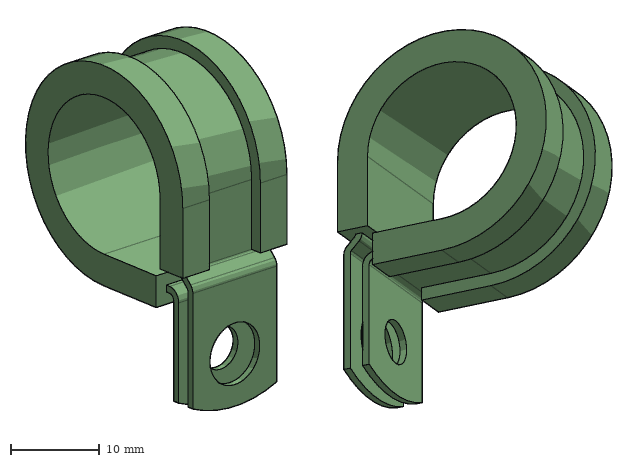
import cadquery as cq
import math

bore_radius = 9.525
cushion_thickness = 3.868
cushion_width = 15.75
lower_end_x = 8.87
upper_end_z = -8.5
outer_radius = bore_radius + cushion_thickness

groove_width = 7.7
groove_depth = 1.5
band_radius = outer_radius - groove_depth

band_thickness = 0.85
band_width = 12.7
leg_bottom_z = -26.125
lower_leg_outer_x = 10.98
lower_bend_inner_radius = 0.7
jog_angle = math.radians(45)
jog_inner_radius = 0.45
tip_radius = 15.8

lower_hole_diameter = 5.18
upper_hole_diameter = 7.5
hole_z = -19.72


def extrude_centred(profile, width):
    """Extrude an XZ profile symmetrically about Y = 0."""
    return profile.extrude(width / 2, both=True)


def loop_profile(inner, outer):
    """Three-quarter ring with a tangent straight run at each end."""
    diagonal = math.sqrt(0.5)
    return (
        cq.Workplane("XZ")
        .moveTo(lower_end_x, -outer)
        .lineTo(0, -outer)
        .threePointArc((-outer * diagonal, outer * diagonal), (outer, 0))
        .lineTo(outer, upper_end_z)
        .lineTo(inner, upper_end_z)
        .lineTo(inner, 0)
        .threePointArc((-inner * diagonal, inner * diagonal), (0, -inner))
        .lineTo(lower_end_x, -inner)
        .close()
    )


def make_cushion():
    cushion = extrude_centred(loop_profile(bore_radius, outer_radius), cushion_width)
    groove = extrude_centred(loop_profile(band_radius, outer_radius), groove_width)
    return cushion.cut(groove)


def make_lower_leg():
    """Band leaving the lower run horizontally and bending down through 90 degrees."""
    outer_bend = lower_bend_inner_radius + band_thickness
    inner_x = lower_leg_outer_x - band_thickness
    bend_z = -band_radius - lower_bend_inner_radius
    profile = (
        cq.Workplane("XZ")
        .moveTo(lower_end_x, -band_radius)
        .lineTo(lower_leg_outer_x - outer_bend, -band_radius)
        .tangentArcPoint((inner_x, bend_z), relative=False)
        .lineTo(inner_x, leg_bottom_z)
        .lineTo(lower_leg_outer_x, leg_bottom_z)
        .lineTo(lower_leg_outer_x, bend_z)
        .tangentArcPoint((lower_leg_outer_x - outer_bend, bend_z + outer_bend), relative=False)
        .lineTo(lower_end_x, bend_z + outer_bend)
        .close()
    )
    return extrude_centred(profile, band_width)


def make_upper_leg():
    """Band leaving the upper run downward and jogging out to the cushion's outer face."""
    jog_outer_radius = jog_inner_radius + band_thickness
    sine = math.sin(jog_angle)
    rise = 1 - math.cos(jog_angle)
    slant_length = (groove_depth - (jog_inner_radius + jog_outer_radius) * rise) / sine
    jog_height = (jog_inner_radius + jog_outer_radius) * sine + slant_length * math.cos(jog_angle)
    jog_end_z = upper_end_z - jog_height
    band_inner_x = band_radius - band_thickness
    leg_inner_x = outer_radius - band_thickness
    profile = (
        cq.Workplane("XZ")
        .moveTo(band_radius, upper_end_z)
        .radiusArc((band_radius + jog_inner_radius * rise, upper_end_z - jog_inner_radius * sine),
                   -jog_inner_radius)
        .lineTo(outer_radius - jog_outer_radius * rise, jog_end_z + jog_outer_radius * sine)
        .radiusArc((outer_radius, jog_end_z), jog_outer_radius)
        .lineTo(outer_radius, leg_bottom_z)
        .lineTo(leg_inner_x, leg_bottom_z)
        .lineTo(leg_inner_x, jog_end_z)
        .radiusArc((leg_inner_x - jog_inner_radius * rise, jog_end_z + jog_inner_radius * sine),
                   -jog_inner_radius)
        .lineTo(band_inner_x + jog_outer_radius * rise, upper_end_z - jog_outer_radius * sine)
        .radiusArc((band_inner_x, upper_end_z), jog_outer_radius)
        .close()
    )
    return extrude_centred(profile, band_width)


def make_leg_outline():
    """Outline of both legs seen along X: straight sides and an arched tip."""
    half_width = band_width / 2
    tip_height = tip_radius - math.sqrt(tip_radius**2 - half_width**2)
    corner_z = leg_bottom_z + tip_height
    return (
        cq.Workplane("YZ")
        .moveTo(-half_width, 0)
        .lineTo(-half_width, corner_z)
        .threePointArc((0, leg_bottom_z), (half_width, corner_z))
        .lineTo(half_width, 0)
        .close()
        .extrude(outer_radius)
    )


def make_hole_cutter(diameter):
    """Round bar along X, long enough to pass through either leg."""
    return (
        cq.Workplane("YZ")
        .center(0, hole_z)
        .circle(diameter / 2)
        .extrude(outer_radius)
    )


leg_outline = make_leg_outline()
lower_leg = make_lower_leg().intersect(leg_outline).cut(make_hole_cutter(lower_hole_diameter))
upper_leg = make_upper_leg().intersect(leg_outline).cut(make_hole_cutter(upper_hole_diameter))
result = make_cushion().union(lower_leg).union(upper_leg)